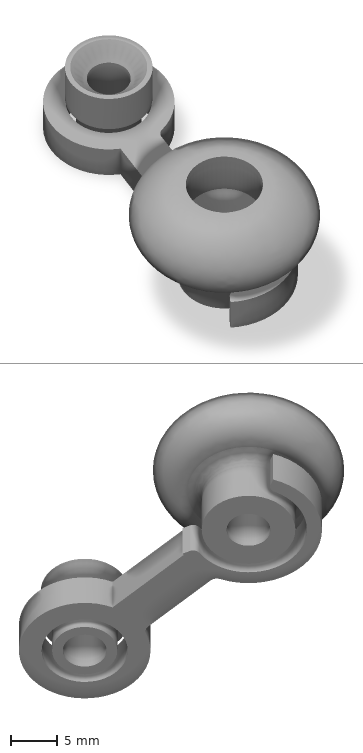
import cadquery as cq
import math

strap_height = 4.05
eye_radius = 14.3 / 2
eye_hole_diameter = 9.35
arm_width = 4.75
arm_fillet = 1.0
clip_outer_radius = 8.0
clip_inner_radius = 6.35
clip_tip_angle = -25.0
clip_arm_angle = 199.0
clip_lead_in = 0.8
eye_to_clip = 25.35
overall_length = 42.9

pin_shank_diameter = 7.1
pin_head_diameter = 9.53
pin_gap = 0.7
pin_head_height = 4.75

bore_diameter = 4.75
funnel_diameter = 8.35
funnel_depth = (funnel_diameter - bore_diameter) / 2

knob_height = 14.2
knob_radius = 20.75 / 2
knob_widest_z = 9.3
stem_radius = 10.15 / 2
stem_height = 4.75
underside_radius = 6.65
underside_z = 6.1
underside_slope = 0.1
lower_rim_radius = 9.45
lower_rim_z = 7.1
shoulder_radius = 7.55
shoulder_z = 13.25
counterbore_depth = 5.05

eye_x = eye_radius - overall_length / 2
clip_x = eye_x + eye_to_clip


def ring_point(radius, angle):
    """Point at a polar angle (degrees) around the clip centre."""
    turn = math.radians(angle)
    return (clip_x + radius * math.cos(turn), radius * math.sin(turn))


def make_clip():
    """Open ring whose mouth faces -Y, rounded on the inner corner of each tip."""
    middle_angle = (clip_arm_angle + clip_tip_angle) / 2
    ring = (
        cq.Workplane("XY")
        .moveTo(*ring_point(clip_outer_radius, clip_tip_angle))
        .threePointArc(
            ring_point(clip_outer_radius, middle_angle), ring_point(clip_outer_radius, clip_arm_angle)
        )
        .lineTo(*ring_point(clip_inner_radius, clip_arm_angle))
        .threePointArc(
            ring_point(clip_inner_radius, middle_angle), ring_point(clip_inner_radius, clip_tip_angle)
        )
        .close()
        .extrude(strap_height)
    )
    for angle in (clip_tip_angle, clip_arm_angle):
        corner_x, corner_y = ring_point(clip_inner_radius, angle)
        corner = cq.selectors.NearestToPointSelector((corner_x, corner_y, strap_height / 2))
        ring = ring.edges("|Z").edges(corner).fillet(clip_lead_in)
    return ring


def make_strap():
    eye = cq.Workplane("XY").center(eye_x, 0).circle(eye_radius).extrude(strap_height)
    arm_end_x = clip_x - (clip_outer_radius + clip_inner_radius) / 2
    arm = (
        cq.Workplane("XY")
        .center((eye_x + arm_end_x) / 2, 0)
        .rect(arm_end_x - eye_x, arm_width)
        .extrude(strap_height)
    )
    strap = eye.union(arm).union(make_clip())

    half_width = arm_width / 2
    eye_corner_x = eye_x + math.sqrt(eye_radius**2 - half_width**2)
    clip_corner_x = clip_x - math.sqrt(clip_outer_radius**2 - half_width**2)
    for corner_x in (eye_corner_x, clip_corner_x):
        corner = cq.selectors.NearestToPointSelector((corner_x, half_width, strap_height / 2))
        strap = strap.edges("|Z").edges(corner).fillet(arm_fillet)

    eye_hole = cq.Workplane("XY").center(eye_x, 0).circle(eye_hole_diameter / 2).extrude(strap_height)
    return strap.cut(eye_hole)


def revolve_about(profile, axis_x):
    """Turn a radius-height profile about Z and move it onto its axis."""
    return profile.close().revolve(360, (0, 0, 0), (0, 1, 0)).translate((axis_x, 0, 0))


def make_pin():
    head_bottom = strap_height + pin_gap
    pin_top = head_bottom + pin_head_height
    profile = (
        cq.Workplane("XZ")
        .moveTo(bore_diameter / 2, 0)
        .lineTo(pin_shank_diameter / 2, 0)
        .lineTo(pin_shank_diameter / 2, head_bottom)
        .lineTo(pin_head_diameter / 2, head_bottom)
        .lineTo(pin_head_diameter / 2, pin_top)
        .lineTo(funnel_diameter / 2, pin_top)
        .lineTo(bore_diameter / 2, pin_top - funnel_depth)
    )
    return revolve_about(profile, eye_x)


def make_knob():
    counterbore_floor = knob_height - counterbore_depth
    profile = (
        cq.Workplane("XZ")
        .moveTo(bore_diameter / 2, 0)
        .lineTo(stem_radius, 0)
        .lineTo(stem_radius, stem_height)
        .spline(
            [(underside_radius, underside_z)],
            tangents=[(0, 1), (1, underside_slope)],
            includeCurrent=True,
        )
        .spline(
            [
                (lower_rim_radius, lower_rim_z),
                (knob_radius, knob_widest_z),
                (shoulder_radius, shoulder_z),
                (funnel_diameter / 2, knob_height),
            ],
            includeCurrent=True,
        )
        .lineTo(funnel_diameter / 2, counterbore_floor)
        .lineTo(bore_diameter / 2, counterbore_floor - funnel_depth)
    )
    return revolve_about(profile, clip_x)


strap = make_strap()
pin = make_pin()
knob = make_knob()

result = cq.Compound.makeCompound([strap.val(), pin.val(), knob.val()])